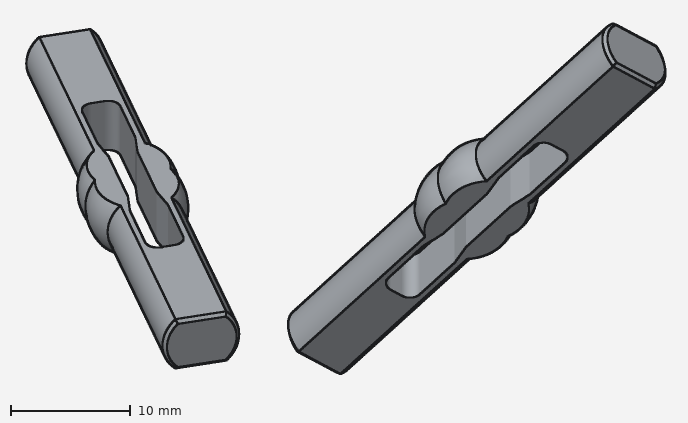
import cadquery as cq
import math

length = 43.75
thickness = 5.0
rod_radius = 3.32
end_chamfer = 0.3

lobe_peak_radius = 4.3
lobe_peak_offset = 1.3
grip_half_length = 4.2

slot_length = 22.0
slot_width = 3.3
slot_corner_radius = 1.05
neck_width = 2.5
neck_half_length = 3.05
taper_half_length = 5.15

lobe_rise = lobe_peak_radius - rod_radius
lobe_run = grip_half_length - lobe_peak_offset
lobe_arc_radius = (lobe_run**2 + lobe_rise**2) / (2 * lobe_rise)
lobe_arc_center = lobe_peak_radius - lobe_arc_radius
valley_radius = lobe_arc_center + math.sqrt(lobe_arc_radius**2 - lobe_peak_offset**2)


def make_bar():
    rod = cq.Workplane("YZ").circle(rod_radius).extrude(length / 2, both=True)
    flats = cq.Workplane("XY").box(length, 2 * rod_radius, thickness)
    return rod.intersect(flats).faces("<X or >X").chamfer(end_chamfer)


def make_grip():
    """Revolve the two-lobed profile around X and trim it to the bar thickness."""
    lobes = (
        cq.Workplane("XY")
        .moveTo(-grip_half_length, 0)
        .lineTo(-grip_half_length, rod_radius)
        .threePointArc((-lobe_peak_offset, lobe_peak_radius), (0, valley_radius))
        .threePointArc((lobe_peak_offset, lobe_peak_radius), (grip_half_length, rod_radius))
        .lineTo(grip_half_length, 0)
        .close()
        .revolve(360, (0, 0, 0), (1, 0, 0))
    )
    flats = cq.Workplane("XY").box(2 * grip_half_length, 2 * lobe_peak_radius, thickness)
    return lobes.intersect(flats)


def make_slot():
    """Rounded rectangular opening with tapered sides leading to the neck."""
    opening = (
        cq.Workplane("XY")
        .box(slot_length, slot_width, thickness)
        .edges("|Z")
        .fillet(slot_corner_radius)
    )
    for side in (1, -1):
        neck_filler = (
            cq.Workplane("XY")
            .polyline([
                (-taper_half_length, side * slot_width / 2),
                (-neck_half_length, side * neck_width / 2),
                (neck_half_length, side * neck_width / 2),
                (taper_half_length, side * slot_width / 2),
            ])
            .close()
            .extrude(thickness / 2, both=True)
        )
        opening = opening.cut(neck_filler)
    return opening


result = make_bar().union(make_grip()).cut(make_slot())